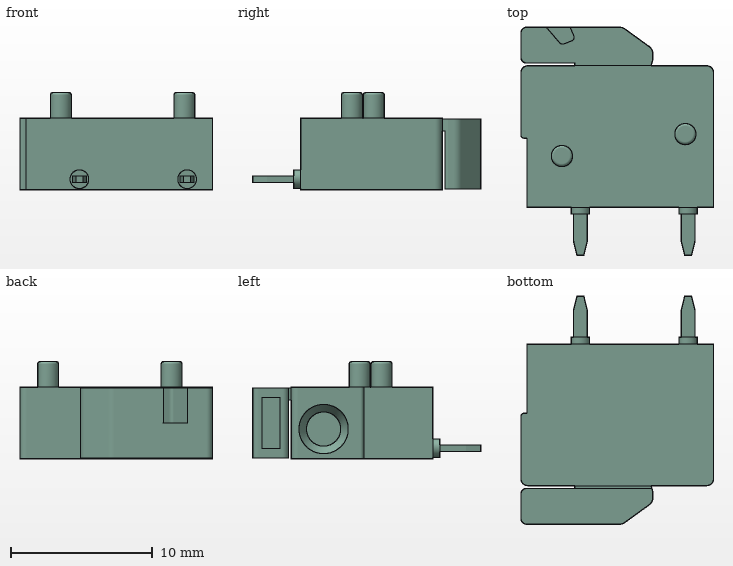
import cadquery as cq


overall_length = 16.1

body_width = 13.6
body_length = 10.0
body_height = 5.07
body_corner_radius = 0.5
step_inset = 0.43
step_length = 4.88
step_corner_radius = 0.23

entry_y = 7.71
entry_z = 2.11
entry_bore_radius = 1.74
entry_floor_radius = 1.2
entry_bore_depth = 2.42
entry_cone_depth = 0.92

peg_diameter = 1.5
peg_height = 1.8
peg_tip_rounding = 0.2
peg_centres = [(2.9, 3.62), (11.61, 5.17)]

pin_pitch = 7.6
first_pin_x = 4.2
pin_z = 0.75
collar_radius = 0.66
collar_length = 0.48
pin_length = 3.38
pin_width = 1.0
pin_tip_width = 0.5
pin_taper_length = 1.03
pin_thickness = 0.47

lever_back = overall_length - pin_length
lever_right = 9.32
lever_inset = 0.06
lever_corner_radius = 0.42
lever_bevel_width = 2.15
lever_bevel_length = 1.56
lever_bevel_radius = 0.65
lever_foot_inset = 0.13
lever_foot_length = 0.42
lever_gap = 0.18
neck_start_x = 3.8
neck_thickness = 0.85
lever_height = body_height - 2 * lever_inset
lever_top = lever_inset + lever_height

window_margin = 0.68
window_length = 1.24
window_depth = 0.97

notch_left_x = 1.79
notch_right_x = 3.48
notch_tip_x = 2.87
notch_tip_reach = 1.25
notch_heel_x = 3.85
notch_heel_reach = 0.87
notch_rounding = 0.27
notch_depth = lever_height / 2


def round_upright_edge(solid, corner, radius):
    """Fillet the vertical edge of an extruded solid that stands at the given (X, Y) corner."""
    middle_z = solid.val().Center().z
    nearest = cq.selectors.NearestToPointSelector((*corner, middle_z))
    return solid.edges("|Z").edges(nearest).fillet(radius)


def make_body():
    outline = [
        (step_inset, 0),
        (body_width, 0),
        (body_width, body_length),
        (0, body_length),
        (0, step_length),
        (step_inset, step_length),
    ]
    body = cq.Workplane("XY").polyline(outline).close().extrude(body_height)
    body = body.edges("|Z and >Y").fillet(body_corner_radius)
    return round_upright_edge(body, (0, step_length), step_corner_radius)


def make_wire_entry():
    cone_end = entry_bore_depth + entry_cone_depth
    half_section = [
        (0, 0),
        (0, entry_bore_radius),
        (entry_bore_depth, entry_bore_radius),
        (cone_end, entry_floor_radius),
        (cone_end, 0),
    ]
    return (
        cq.Workplane("XY", origin=(0, entry_y, entry_z))
        .polyline(half_section)
        .close()
        .revolve(360, (0, 0), (1, 0))
    )


def make_pegs():
    return (
        cq.Workplane("XY", origin=(0, 0, body_height))
        .pushPoints(peg_centres)
        .circle(peg_diameter / 2)
        .extrude(peg_height)
        .faces(">Z")
        .edges()
        .fillet(peg_tip_rounding)
    )


def make_pin(pin_x):
    half_width = pin_width / 2
    half_tip = pin_tip_width / 2
    taper_start = pin_taper_length - pin_length
    blade_outline = [
        (-half_width, 0),
        (-half_width, taper_start),
        (-half_tip, -pin_length),
        (half_tip, -pin_length),
        (half_width, taper_start),
        (half_width, 0),
    ]
    blade = (
        cq.Workplane("XY", origin=(pin_x, 0, pin_z))
        .polyline(blade_outline)
        .close()
        .extrude(pin_thickness / 2, both=True)
    )
    collar = cq.Workplane("XZ", origin=(pin_x, 0, pin_z)).circle(collar_radius).extrude(collar_length)
    return blade.union(collar)


def make_lever_blank():
    bevel_start = (lever_right - lever_bevel_width, lever_back)
    bevel_end = (lever_right, lever_back - lever_bevel_length)
    outline = [
        (0, body_length + lever_gap),
        (0, lever_back),
        bevel_start,
        bevel_end,
        (lever_right, body_length + lever_foot_length),
        (lever_right - lever_foot_inset, body_length),
        (neck_start_x, body_length),
        (neck_start_x, body_length + lever_gap),
    ]
    lever = (
        cq.Workplane("XY", origin=(0, 0, lever_inset)).polyline(outline).close().extrude(lever_height)
    )
    lever = lever.edges("|Z and <X").fillet(lever_corner_radius)
    for corner in (bevel_start, bevel_end):
        lever = round_upright_edge(lever, corner, lever_bevel_radius)
    return lever


def make_gap_under_neck():
    return cq.Workplane("XY").box(
        body_width, lever_gap, lever_top - neck_thickness, centered=False
    ).translate((0, body_length, 0))


def make_window():
    return cq.Workplane("XY").box(
        window_depth, window_length, lever_height - 2 * window_margin, centered=False
    ).translate((0, lever_back - window_margin - window_length, lever_inset + window_margin))


def make_notch():
    tip = (notch_tip_x, lever_back - notch_tip_reach)
    heel = (notch_heel_x, lever_back - notch_heel_reach)
    outline = [
        (notch_left_x, lever_back),
        tip,
        heel,
        (notch_right_x, lever_back),
    ]
    notch = (
        cq.Workplane("XY", origin=(0, 0, lever_top - notch_depth))
        .polyline(outline)
        .close()
        .extrude(notch_depth)
    )
    for corner in (tip, heel):
        notch = round_upright_edge(notch, corner, notch_rounding)
    return notch


body = make_body().cut(make_wire_entry())
lever = make_lever_blank().cut(make_gap_under_neck()).cut(make_window()).cut(make_notch())

result = body.union(lever).union(make_pegs())
for pin_x in (first_pin_x, first_pin_x + pin_pitch):
    result = result.union(make_pin(pin_x))